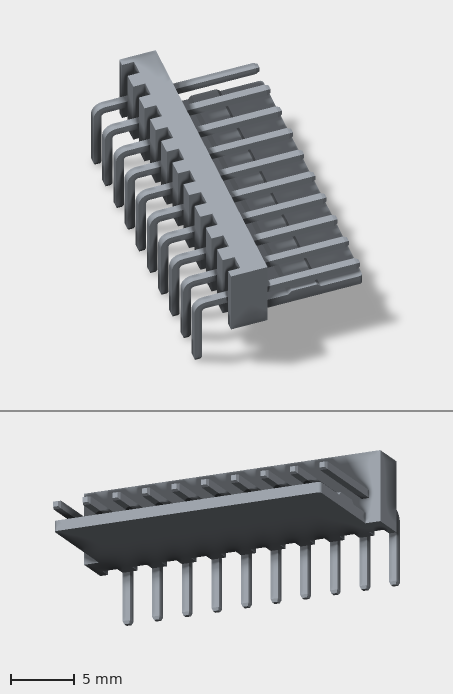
import cadquery as cq


pin_count = 10
pitch = 2.55
row_span = (pin_count - 1) * pitch

housing_length = pin_count * pitch
housing_depth = 3.02
housing_height = 5.85
slot_width = pitch / 2
slot_depth = 1.0

shelf_length = 8.38
shelf_thickness = 0.86
shelf_corner_radius = 0.28
ridge_height = 0.3
ridge_slope = 0.3
ridge_start = 2.18
ridge_end = 4.88

pin_width = 0.64
pin_center_z = 2.35
pin_rear_reach = 8.05
pin_front_reach = 2.7
pin_drop = 3.45
bend_inner_radius = 0.3
bend_outer_radius = bend_inner_radius + pin_width
tip_inset = 0.1
rear_tip_length = 0.33
lower_tip_length = 0.25

pin_positions = [-row_span / 2 + i * pitch for i in range(pin_count)]


def make_housing():
    """Block with a full-height slot in its front face at every pin."""
    block = cq.Workplane("XY").box(
        housing_length, housing_depth, housing_height, centered=(True, False, False)
    ).translate((0, -housing_depth, 0))
    slots = (
        cq.Workplane("XY")
        .pushPoints([(x, -housing_depth) for x in pin_positions])
        .rect(slot_width, 2 * slot_depth)
        .extrude(housing_height)
    )
    return block.cut(slots)


def make_shelf():
    """Plate with rounded rear corners and a sloped locking ridge across its top."""
    ridge_top = shelf_thickness + ridge_height
    profile = [
        (0, 0),
        (shelf_length, 0),
        (shelf_length, shelf_thickness),
        (ridge_end, shelf_thickness),
        (ridge_end - ridge_slope, ridge_top),
        (ridge_start + ridge_slope, ridge_top),
        (ridge_start, shelf_thickness),
        (0, shelf_thickness),
    ]
    shelf = cq.Workplane("YZ").polyline(profile).close().extrude(row_span / 2, both=True)
    return shelf.edges("|Z and >Y").fillet(shelf_corner_radius)


def make_tip(plane, tip_length):
    """Tapered pin end that starts full size on the plane and narrows along its normal."""
    end_width = pin_width - 2 * tip_inset
    return (
        cq.Workplane(plane)
        .rect(pin_width, pin_width)
        .workplane(offset=tip_length)
        .rect(end_width, end_width)
        .loft(ruled=True)
    )


def make_pin():
    """Square pin at X = 0, bent down in front of the housing, with both ends tapered."""
    top_z = pin_center_z + pin_width / 2
    underside_z = top_z - pin_width
    front_y = -housing_depth - pin_front_reach
    leg_rear_y = front_y + pin_width
    rear_shoulder_y = pin_rear_reach - rear_tip_length
    lower_shoulder_z = lower_tip_length - pin_drop

    shank = (
        cq.Workplane("YZ")
        .moveTo(rear_shoulder_y, top_z)
        .lineTo(front_y + bend_outer_radius, top_z)
        .radiusArc((front_y, top_z - bend_outer_radius), -bend_outer_radius)
        .lineTo(front_y, lower_shoulder_z)
        .lineTo(leg_rear_y, lower_shoulder_z)
        .lineTo(leg_rear_y, underside_z - bend_inner_radius)
        .radiusArc((leg_rear_y + bend_inner_radius, underside_z), bend_inner_radius)
        .lineTo(rear_shoulder_y, underside_z)
        .close()
        .extrude(pin_width / 2, both=True)
    )
    rear_plane = cq.Plane(
        origin=(0, rear_shoulder_y, pin_center_z), xDir=(1, 0, 0), normal=(0, 1, 0)
    )
    lower_plane = cq.Plane(
        origin=(0, front_y + pin_width / 2, lower_shoulder_z), xDir=(1, 0, 0), normal=(0, 0, -1)
    )
    rear_tip = make_tip(rear_plane, rear_tip_length)
    lower_tip = make_tip(lower_plane, lower_tip_length)
    return shank.union(rear_tip).union(lower_tip)


result = make_housing().union(make_shelf())
pin = make_pin()
for x in pin_positions:
    result = result.union(pin.translate((x, 0, 0)))